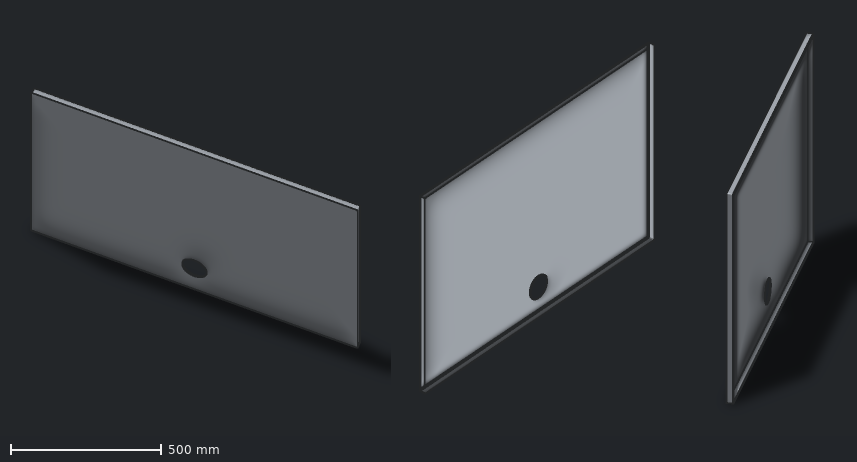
import cadquery as cq

width = 1188.0
depth = 24.0
height = 790.0
sheet_thickness = 5.0
rim_thickness = 7.0
corner_radius = 6.0
rim_draft = 3.0
rim_chamfer = 1.8
hole_diameter = 89.0
hole_height = 120.0

front_y = -depth / 2


def make_body():
    """Drafted block with rounded corners and a chamfered back edge."""
    body = (
        cq.Workplane("XZ", origin=(0, front_y, 0))
        .sketch()
        .rect(width, height)
        .vertices()
        .fillet(corner_radius)
        .finalize()
        .extrude(-depth, taper=rim_draft)
    )
    return body.faces(">Y").edges().chamfer(rim_chamfer)


def make_cavity():
    """Drafted square-cornered hollow behind the front sheet."""
    return (
        cq.Workplane("XZ", origin=(0, front_y + sheet_thickness, 0))
        .rect(width - 2 * rim_thickness, height - 2 * rim_thickness)
        .extrude(-(depth - sheet_thickness), taper=rim_draft)
    )


def make_hole():
    """Round cutter through the front sheet, centred across the width."""
    hole_z = hole_height - height / 2
    return (
        cq.Workplane("XZ")
        .center(0, hole_z)
        .circle(hole_diameter / 2)
        .extrude(depth, both=True)
    )


result = make_body().cut(make_cavity()).cut(make_hole())